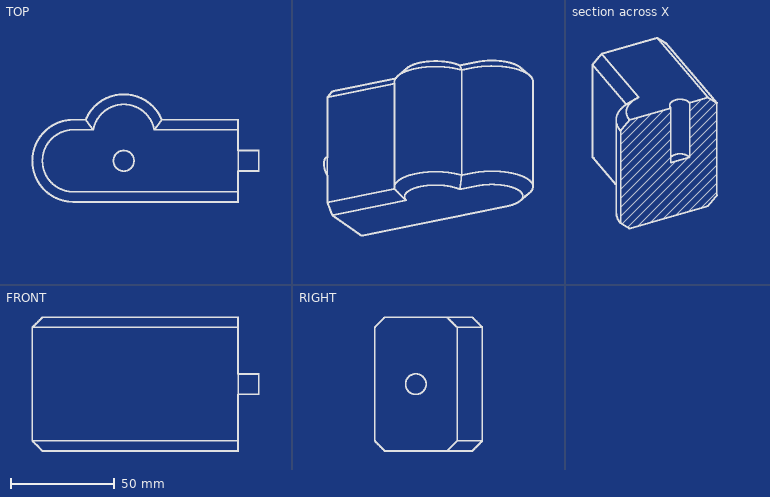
import cadquery as cq

total_length = 110.0
pin_length = 10.0
pin_diameter = 10.0
end_radius = 20.0
height = 65.0
edge_chamfer = 5.0
lobe_radius = 20.0
lobe_x = 24.4
lobe_y = 12.3
hole_diameter = 10.0

pin_tip_x = total_length - end_radius
flat_end_x = pin_tip_x - pin_length
hole_depth = height / 2


def make_body():
    """Long block with one rounded end and a plain flat end."""
    outline = (
        cq.Workplane("XY")
        .moveTo(0, end_radius)
        .threePointArc((-end_radius, 0), (0, -end_radius))
        .lineTo(flat_end_x, -end_radius)
        .lineTo(flat_end_x, end_radius)
        .close()
    )
    block = outline.extrude(height)
    return block.faces("<Z or >Z").edges("not >X").chamfer(edge_chamfer)


def make_lobe():
    """Chamfered cylinder that bulges out of the back of the body."""
    cylinder = cq.Workplane("XY").center(lobe_x, lobe_y).circle(lobe_radius).extrude(height)
    return cylinder.faces("<Z or >Z").edges().chamfer(edge_chamfer)


def make_pin():
    """Round pin standing out from the middle of the flat end."""
    return (
        cq.Workplane("YZ", origin=(flat_end_x, 0, height / 2))
        .circle(pin_diameter / 2)
        .extrude(pin_length)
    )


def make_hole():
    """Blind hole in the top face, in line with the lobe along X."""
    return (
        cq.Workplane("XY", origin=(lobe_x, 0, height))
        .circle(hole_diameter / 2)
        .extrude(-hole_depth)
    )


result = make_body().union(make_lobe()).union(make_pin()).cut(make_hole())